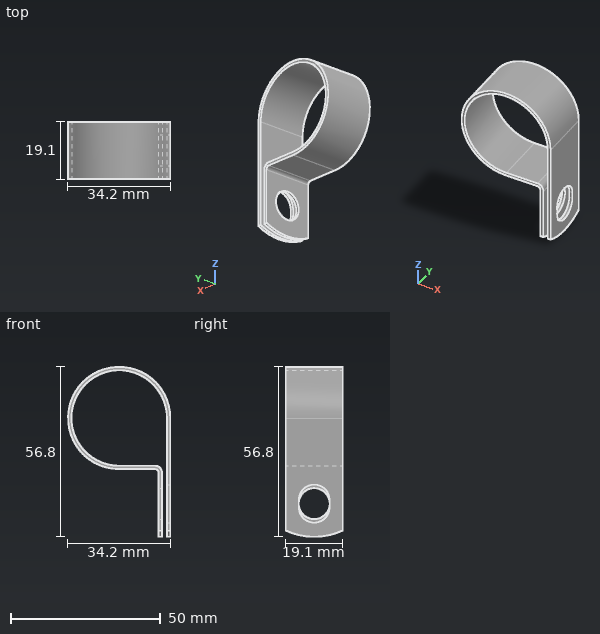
import cadquery as cq
import math

height = 56.75
width = 19.1
thickness = 1.2
loop_radius = 17.1
leg_gap = 1.6
bend_inner_radius = 1.15
tip_drop = 2.15
hole_diameter = 10.3
slot_length = 12.65
hole_height = 11.1

inner_radius = loop_radius - thickness
tip_z = loop_radius - height
hole_z = tip_z + hole_height
half_width = width / 2
bend_outer_radius = bend_inner_radius + thickness
short_leg_outer_x = inner_radius - leg_gap
short_leg_inner_x = short_leg_outer_x - thickness
bend_x = short_leg_outer_x - bend_outer_radius
bend_z = -inner_radius - bend_outer_radius
diagonal = math.sqrt(0.5)


def bend_midpoint(radius):
    """Middle of the quarter bend between the shelf and the short leg."""
    return (bend_x + radius * diagonal, bend_z + radius * diagonal)


def strip():
    """Bent strip: long leg, three-quarter loop, flat shelf and short leg."""
    return (
        cq.Workplane("XZ")
        .moveTo(loop_radius, tip_z)
        .lineTo(loop_radius, 0)
        .threePointArc((-loop_radius * diagonal, loop_radius * diagonal), (0, -loop_radius))
        .lineTo(bend_x, -loop_radius)
        .threePointArc(bend_midpoint(bend_inner_radius), (short_leg_inner_x, bend_z))
        .lineTo(short_leg_inner_x, tip_z)
        .lineTo(short_leg_outer_x, tip_z)
        .lineTo(short_leg_outer_x, bend_z)
        .threePointArc(bend_midpoint(bend_outer_radius), (bend_x, -inner_radius))
        .lineTo(0, -inner_radius)
        .threePointArc((-inner_radius * diagonal, inner_radius * diagonal), (inner_radius, 0))
        .lineTo(inner_radius, tip_z)
        .close()
        .extrude(half_width, both=True)
    )


def side_envelope():
    """Block with the strip's side outline, including the arc at the leg tips."""
    corner_z = tip_z + tip_drop
    return (
        cq.Workplane("YZ")
        .moveTo(-half_width, loop_radius)
        .lineTo(-half_width, corner_z)
        .threePointArc((0, tip_z), (half_width, corner_z))
        .lineTo(half_width, loop_radius)
        .close()
        .extrude(loop_radius, both=True)
    )


def short_leg_hole():
    """Round bolt hole, cut along X up to the gap between the legs."""
    return (
        cq.Workplane("YZ")
        .center(0, hole_z)
        .circle(hole_diameter / 2)
        .extrude(short_leg_outer_x)
    )


def long_leg_slot():
    """Upright slot through the long leg, allowing bolt adjustment along Z."""
    return (
        cq.Workplane("YZ", origin=(inner_radius, 0, 0))
        .center(0, hole_z)
        .slot2D(slot_length, hole_diameter, 90)
        .extrude(thickness)
    )


result = strip().intersect(side_envelope()).cut(short_leg_hole()).cut(long_leg_slot())